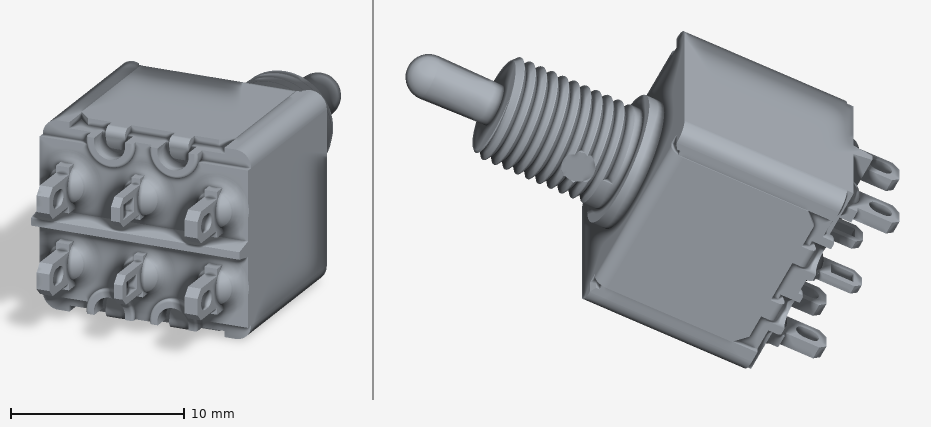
import cadquery as cq
import math


HOUSING_WIDTH = 13.25
HOUSING_HEIGHT = 11.73
HOUSING_EDGE_RADIUS = 1.0
EDGE_STRIP_END = -10.5
BASE_FACE = -10.95

FRAME_WIDTH = 9.85
FRAME_HEIGHT = 11.85
SHEET = 0.45
FRAME_BEND_RADIUS = 0.75
LEG_END = -9.6
LEG_CHAMFER = 0.75
FRAME_Z = FRAME_HEIGHT / 2
RECESS_FLOOR_Z = FRAME_Z - SHEET

TAB_X = 2.02
TAB_WIDTH = 1.23
TAB_HOOK_LENGTH = 0.82
TAB_LEAN = math.radians(15)
TAB_END = EDGE_STRIP_END
TAB_BEND_Y = TAB_END + SHEET
TAB_CORNER_RADIUS = 0.35
COLLAR_Z = 5.25
COLLAR_RADIUS = 1.52
COLLAR_END = -11.3
COLLAR_FILLET = 0.18
POCKET_RADIUS = 1.0

NOTCH_WIDTH = 0.3
NOTCH_DEPTH = SHEET
NOTCH_TAPER_WIDTH = 0.38
NOTCH_TAPER_DEPTH = 0.2
NOTCH_FLOOR_Z = HOUSING_HEIGHT / 2 - HOUSING_EDGE_RADIUS

RIB_BASE = 0.96
RIB_TIP = 0.47
RIB_END = -12.13

DOME_RADIUS = 1.93
DOME_CAP_RADIUS = 1.1
DOME_FLARE_HEIGHT = 0.6
DOME_HEIGHT = 1.23
DOME_SHIFT_X = 0.045
COLUMN_PITCH = 4.7
ROW_Z = 2.383
OUTER_TERMINAL_SHIFT_Z = -0.15
OUTER_THICKNESS = 0.82
OUTER_BLADE = 1.95
OUTER_SHOULDER = 2.85
OUTER_SHOULDER_END = -11.93
OUTER_END = -14.65
MIDDLE_TERMINAL_X = 0.1
MIDDLE_THICKNESS = 0.55
MIDDLE_BLADE = 1.8
MIDDLE_SHOULDER = 2.55
MIDDLE_SHOULDER_END = -11.87
MIDDLE_END = -14.68
BLADE_CHAMFER = 0.47
EYE_Y = -13.42
EYE_LENGTH = 1.45
EYE_HEIGHT = 1.05
MIDDLE_EYE_HEIGHT = 0.95

FLANGE_RADIUS = 4.0
FLANGE_LENGTH = 0.96
BUSHING_RADIUS = 3.15
BUSHING_LENGTH = 8.98
BUSHING_CHAMFER = 0.32
THREAD_PITCH = 0.715
THREAD_ROOT_RADIUS = 2.72
THREAD_GROOVE_WIDTH = 0.7
THREAD_START = 1.65
THREAD_CLEARANCE = 0.03
BLANK_EXTRA = 2.92
PIVOT_Y = 3.55
PIVOT_RADIUS = 1.0
PIVOT_END_Z = 2.85

LEVER_TIP = 14.55
LEVER_BALL_RADIUS = 1.35
LEVER_NECK_RADIUS = 1.25


def box(x_range, y_range, z_range):
    """Box between the given low and high limits on each axis."""
    spans = [high - low for low, high in (x_range, y_range, z_range)]
    corner = cq.Vector(x_range[0], y_range[0], z_range[0])
    return cq.Workplane(cq.Solid.makeBox(*spans, corner))


def rod(radius, y_start, y_end, x=0.0, z=0.0):
    """Cylinder along Y."""
    return cq.Workplane(
        cq.Solid.makeCylinder(radius, y_end - y_start, cq.Vector(x, y_start, z), cq.Vector(0, 1, 0))
    )


def both_z_sides(solid):
    """The solid together with its mirror image below the XY plane."""
    return solid.union(solid.mirror("XY"))


def level_arc_middle(start, end):
    """Middle point of the arc from start to end that leaves start square to the Y axis."""
    run = end[0] - start[0]
    rise = end[1] - start[1]
    radius = (run**2 + rise**2) / (2 * abs(rise))
    half_turn = math.atan2(abs(rise), abs(run))
    across = math.copysign(radius * math.sin(half_turn), run)
    along = math.copysign(radius * (1 - math.cos(half_turn)), rise)
    return (start[0] + across, start[1] + along)


def hook_tab(x):
    """Tab that runs on from the upper leg and bends sharply down into its pocket."""
    across = (-math.cos(TAB_LEAN), -math.sin(TAB_LEAN))
    along = (math.sin(TAB_LEAN), -math.cos(TAB_LEAN))
    half_bend = math.radians(45) - TAB_LEAN / 2
    bend_middle = (
        TAB_BEND_Y - SHEET * math.cos(half_bend),
        RECESS_FLOOR_Z + SHEET * math.sin(half_bend),
    )
    bend_end = (TAB_BEND_Y + SHEET * across[0], RECESS_FLOOR_Z + SHEET * across[1])
    outer_tip = (bend_end[0] + TAB_HOOK_LENGTH * along[0], bend_end[1] + TAB_HOOK_LENGTH * along[1])
    inner_tip = (outer_tip[0] - SHEET * across[0], outer_tip[1] - SHEET * across[1])
    tab = (
        cq.Workplane("YZ", origin=(x, 0, 0))
        .moveTo(LEG_END, FRAME_Z)
        .lineTo(TAB_BEND_Y, FRAME_Z)
        .threePointArc(bend_middle, bend_end)
        .lineTo(*outer_tip)
        .lineTo(*inner_tip)
        .lineTo(TAB_BEND_Y, RECESS_FLOOR_Z)
        .lineTo(LEG_END, RECESS_FLOOR_Z)
        .close()
        .extrude(TAB_WIDTH / 2, both=True)
    )
    tip_corners = cq.selectors.ParallelDirSelector(cq.Vector(0, *across))
    return tab.edges(tip_corners).fillet(TAB_CORNER_RADIUS)


def housing_block():
    block = (
        cq.Workplane("XZ")
        .rect(HOUSING_WIDTH, HOUSING_HEIGHT)
        .extrude(-EDGE_STRIP_END)
        .edges("|Y")
        .fillet(HOUSING_EDGE_RADIUS)
    )
    side = HOUSING_WIDTH / 2
    flat_z = HOUSING_HEIGHT / 2 - HOUSING_EDGE_RADIUS
    base = box((-side, side), (BASE_FACE, EDGE_STRIP_END), (-flat_z, flat_z))
    raised_middle = box((-TAB_X, TAB_X), (BASE_FACE, EDGE_STRIP_END), (-RECESS_FLOOR_Z, RECESS_FLOOR_Z))
    return block.union(base).union(raised_middle)


def rib():
    root = EDGE_STRIP_END
    outline = [
        (root, RIB_BASE / 2),
        (BASE_FACE, RIB_BASE / 2),
        (RIB_END, RIB_TIP / 2),
        (RIB_END, -RIB_TIP / 2),
        (BASE_FACE, -RIB_BASE / 2),
        (root, -RIB_BASE / 2),
    ]
    return cq.Workplane("YZ").polyline(outline).close().extrude(HOUSING_WIDTH / 2, both=True)


def collar(x):
    """Round boss around a tab pocket; the frame recess later cuts its outer part away."""
    return rod(COLLAR_RADIUS, COLLAR_END, TAB_BEND_Y, x, COLLAR_Z).faces("<Y").edges().fillet(COLLAR_FILLET)


def dome(x, z):
    apex = (0, BASE_FACE - DOME_HEIGHT)
    join = (DOME_CAP_RADIUS, BASE_FACE - DOME_FLARE_HEIGHT)
    rim = (DOME_RADIUS, BASE_FACE)
    return (
        cq.Workplane("XY")
        .moveTo(*apex)
        .threePointArc(level_arc_middle(apex, join), join)
        .threePointArc(level_arc_middle(rim, join), rim)
        .lineTo(0, BASE_FACE)
        .close()
        .revolve(360, (0, 0), (0, 1))
        .translate((x, 0, z))
    )


def terminal(x, z, thickness, blade, shoulder, shoulder_end, end):
    """Solder lug without its eye: a shouldered blade with a chamfered end."""
    blade_plate = (
        box((-thickness / 2, thickness / 2), (end, BASE_FACE), (-blade / 2, blade / 2))
        .edges("<Y and |X")
        .chamfer(BLADE_CHAMFER)
    )
    shoulder_plate = box(
        (-thickness / 2, thickness / 2), (shoulder_end, BASE_FACE), (-shoulder / 2, shoulder / 2)
    )
    return blade_plate.union(shoulder_plate).translate((x, 0, z))


def outer_terminal(x, z):
    lug = terminal(x, z, OUTER_THICKNESS, OUTER_BLADE, OUTER_SHOULDER, OUTER_SHOULDER_END, OUTER_END)
    eye = (
        cq.Workplane("YZ", origin=(x, EYE_Y, z))
        .slot2D(EYE_LENGTH, EYE_HEIGHT)
        .extrude(OUTER_THICKNESS, both=True)
    )
    return lug.cut(eye)


def middle_terminal(x, z):
    lug = terminal(x, z, MIDDLE_THICKNESS, MIDDLE_BLADE, MIDDLE_SHOULDER, MIDDLE_SHOULDER_END, MIDDLE_END)
    eye = (
        cq.Workplane("YZ", origin=(x, EYE_Y, z))
        .rect(EYE_LENGTH, MIDDLE_EYE_HEIGHT)
        .extrude(MIDDLE_THICKNESS, both=True)
    )
    return lug.cut(eye)


def frame_recess():
    """Room for the frame: one slot over the top and bottom, and one across the mounting face."""
    half = FRAME_WIDTH / 2
    leg_slot = box((-half, half), (COLLAR_END, 0), (RECESS_FLOOR_Z, COLLAR_Z + COLLAR_RADIUS))
    web_slot = box((-half, half), (-SHEET, 0), (-FRAME_Z, FRAME_Z))
    return both_z_sides(leg_slot).union(web_slot)


def relief_notches():
    """Tapered notches beside the frame bends, at all four corners."""
    inner = FRAME_WIDTH / 2
    outer = inner + NOTCH_WIDTH
    outline = [
        (inner, 0),
        (outer + NOTCH_TAPER_WIDTH, 0),
        (outer, -NOTCH_TAPER_DEPTH),
        (outer, -NOTCH_DEPTH),
        (inner, -NOTCH_DEPTH),
    ]
    notch = (
        cq.Workplane("XY", origin=(0, 0, NOTCH_FLOOR_Z))
        .polyline(outline)
        .close()
        .extrude(HOUSING_EDGE_RADIUS)
    )
    return both_z_sides(notch.union(notch.mirror("YZ")))


def build_housing():
    body = housing_block().union(rib())
    for x in (-TAB_X, TAB_X):
        body = body.union(both_z_sides(collar(x)))
    body = body.cut(frame_recess()).cut(relief_notches())
    for x in (-TAB_X, TAB_X):
        pocket = rod(POCKET_RADIUS, COLLAR_END, TAB_BEND_Y, x, COLLAR_Z)
        body = body.cut(both_z_sides(pocket.union(hook_tab(x))))
    for row_z in (-ROW_Z, ROW_Z):
        for column_x in (-COLUMN_PITCH, 0, COLUMN_PITCH):
            body = body.union(dome(column_x + DOME_SHIFT_X, row_z))
        for terminal_x in (-COLUMN_PITCH, COLUMN_PITCH):
            body = body.union(outer_terminal(terminal_x, row_z + OUTER_TERMINAL_SHIFT_Z))
        body = body.union(middle_terminal(-math.copysign(MIDDLE_TERMINAL_X, row_z), row_z))
    return body


def frame_leg():
    """Upper leg with chamfered end corners."""
    half = FRAME_WIDTH / 2
    leg = box((-half, half), (LEG_END, 0), (RECESS_FLOOR_Z, FRAME_Z))
    return leg.edges("<Y and |Z").chamfer(LEG_CHAMFER)


def sheet_frame():
    half = FRAME_WIDTH / 2
    web = box((-half, half), (-SHEET, 0), (-FRAME_Z, FRAME_Z))
    frame = web.union(both_z_sides(frame_leg()))
    frame = frame.edges("|X and >Y").fillet(FRAME_BEND_RADIUS)
    for x in (-TAB_X, TAB_X):
        frame = frame.union(both_z_sides(hook_tab(x)))
    return frame


def thread_groove():
    """Right-handed V groove, swept about Z and then laid along Y so that it starts at the -Z side."""
    height = BUSHING_LENGTH - THREAD_START + THREAD_PITCH
    path = cq.Wire.makeHelix(THREAD_PITCH, height, THREAD_ROOT_RADIUS)
    half = THREAD_GROOVE_WIDTH / 2
    outside = BUSHING_RADIUS + THREAD_CLEARANCE
    section = [(THREAD_ROOT_RADIUS, 0), (outside, half), (outside, -half)]
    groove = cq.Workplane("XZ").polyline(section).close().sweep(cq.Workplane(path), isFrenet=True)
    return (
        groove.rotate((0, 0, 0), (0, 0, 1), 90)
        .rotate((0, 0, 0), (1, 0, 0), -90)
        .translate((0, THREAD_START, 0))
    )


def threaded_stem():
    """Stem cut from a longer blank, so that the thread runs out through its chamfered end."""
    blank_end = BUSHING_LENGTH + BLANK_EXTRA
    blank = rod(BUSHING_RADIUS, 0, blank_end)
    trim_radius = BUSHING_RADIUS + BUSHING_CHAMFER
    trim_outline = [
        (0, BUSHING_LENGTH),
        (BUSHING_RADIUS - BUSHING_CHAMFER, BUSHING_LENGTH),
        (trim_radius, BUSHING_LENGTH - 2 * BUSHING_CHAMFER),
        (trim_radius, blank_end),
        (0, blank_end),
    ]
    trim = cq.Workplane("XY").polyline(trim_outline).close().revolve(360, (0, 0), (0, 1))
    return blank.cut(thread_groove(), clean=False).cut(trim, clean=False)


def pivot_plug(top_z):
    """Upright round plug from beside the lever bore up to top_z."""
    seat = cq.Workplane("XY", origin=(0, PIVOT_Y, LEVER_BALL_RADIUS))
    return seat.circle(PIVOT_RADIUS).extrude(top_z - LEVER_BALL_RADIUS)


def threaded_bushing():
    """Stem and flange, with flat round pivot ends sunk below the thread crests at top and bottom."""
    pivot_hole = pivot_plug(BUSHING_RADIUS)
    pivot_end = pivot_plug(PIVOT_END_Z)
    lever_bore = rod(LEVER_NECK_RADIUS, PIVOT_Y, BUSHING_LENGTH)
    stem = threaded_stem().cut(both_z_sides(pivot_hole), clean=False)
    stem = stem.union(both_z_sides(pivot_end), clean=False).cut(lever_bore, clean=False)
    return stem.union(rod(FLANGE_RADIUS, 0, FLANGE_LENGTH), clean=False)


def build_frame():
    return sheet_frame().union(threaded_bushing(), clean=False)


def build_lever():
    """Straight shank in the bushing, a slightly tapered handle and a round tip."""
    ball_y = LEVER_TIP - LEVER_BALL_RADIUS
    diagonal = LEVER_BALL_RADIUS * math.sqrt(0.5)
    return (
        cq.Workplane("XY")
        .moveTo(0, PIVOT_Y)
        .lineTo(LEVER_NECK_RADIUS, PIVOT_Y)
        .lineTo(LEVER_NECK_RADIUS, BUSHING_LENGTH)
        .lineTo(LEVER_BALL_RADIUS, ball_y)
        .threePointArc((diagonal, ball_y + diagonal), (0, LEVER_TIP))
        .close()
        .revolve(360, (0, 0), (0, 1))
    )


housing = build_housing()
frame = build_frame()
lever = build_lever()

result = cq.Compound.makeCompound([housing.solids().val(), frame.solids().val(), lever.val()])